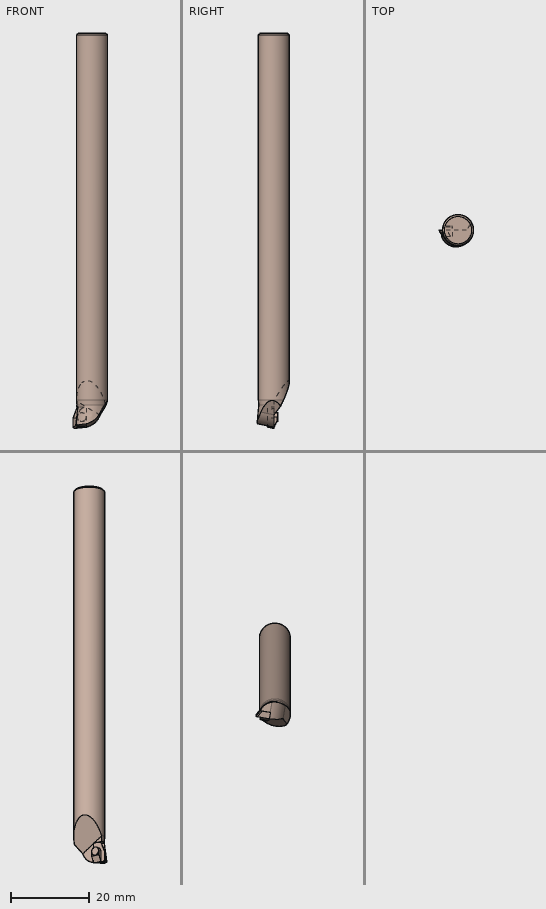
import cadquery as cq
import math

LENGTH = 101.1
SHANK_RADIUS = 3.99
SHANK_CHAMFER = 0.5
CONE_TOP_Z = 7.3
CONE_BOTTOM_Z = 6.1
NECK_RADIUS = 3.89

HEAD_X = -0.5
HEAD_Y = -0.5
HEAD_RADIUS = 3.9

WALL_Z = 4.7
WALL_X_SLOPE = -0.6
WALL_Y_SLOPE = 1.8

END_TILT = 12.0
END_LOW_Z = 0.3
END_FLAT_X = -1.5
END_ARC_MIDDLE = (0.6, 1.3)
END_ARC_TOP = (2.1, 3.4)
END_TOP_Z = 7.0
INSERT_THICKNESS = 1.6
SEAT_X = -1.4
SEAT_TOP_Z = 5.6
TIP_X = -4.5
EDGE_X = -4.9
EDGE_BOTTOM_Z = 0.4
EDGE_TOP_Z = 2.6
FLANK_TOP_X = -3.9
FLANK_TOP_Z = 5.2
CORNER_X = -2.8
FLANK_RELIEF = 0.9
END_RISE = INSERT_THICKNESS * math.tan(math.radians(END_TILT))

BOSS_DIAMETER = 2.2
BOSS_HEIGHT = 1.0
BOSS_X = -2.6
BOSS_Z = 2.9
RAMP_HEIGHT = 0.8
RAMP_START_Z = 0.2
RAMP_LEFT_X = -3.7

REACH = 20.2


def cutting_block(x_min, x_max, y_min, y_max, z_min, z_max):
    """Box given by its limits on each axis."""
    size = (x_max - x_min, y_max - y_min, z_max - z_min)
    return cq.Workplane("XY").box(*size, centered=False).translate((x_min, y_min, z_min))


def make_blank():
    """Chamfered shank, short cone and the head that leans to one side under it."""
    shank = cq.Workplane("XY").workplane(offset=CONE_TOP_Z).circle(SHANK_RADIUS)
    shank = shank.extrude(LENGTH - CONE_TOP_Z).faces(">Z").chamfer(SHANK_CHAMFER)
    cone = cq.Workplane("XY").workplane(offset=CONE_BOTTOM_Z).circle(NECK_RADIUS)
    cone = cone.workplane(offset=CONE_TOP_Z - CONE_BOTTOM_Z).circle(SHANK_RADIUS).loft()
    head = cq.Workplane("XY").center(HEAD_X, HEAD_Y).circle(HEAD_RADIUS)
    head = head.workplane(offset=CONE_BOTTOM_Z).center(-HEAD_X, -HEAD_Y).circle(NECK_RADIUS).loft()
    return shank.union(cone).union(head)


def make_flute():
    """Space in front of the flat floor and below the sloping wall."""
    normal = cq.Vector(WALL_X_SLOPE, WALL_Y_SLOPE, -1.0)
    wall = cq.Plane(origin=(0, 0, WALL_Z), xDir=(1, 0, WALL_X_SLOPE), normal=normal)
    below_wall = cq.Workplane(wall).rect(4 * REACH, 4 * REACH).extrude(2 * REACH)
    return below_wall.intersect(cutting_block(-REACH, REACH, 0, REACH, -REACH, REACH))


def make_end_relief():
    """Everything below the curved, backward tilted end of the head."""
    relief = (
        cq.Workplane("XZ")
        .workplane(offset=-REACH)
        .moveTo(-REACH, END_LOW_Z)
        .lineTo(END_FLAT_X, END_LOW_Z)
        .threePointArc(END_ARC_MIDDLE, END_ARC_TOP)
        .lineTo(SHANK_RADIUS, END_TOP_Z)
        .lineTo(REACH, END_TOP_Z)
        .lineTo(REACH, -REACH)
        .lineTo(-REACH, -REACH)
        .close()
        .extrude(2 * REACH)
    )
    return relief.rotate((0, 0, 0), (1, 0, 0), -END_TILT)


def make_bar():
    seat = cutting_block(-REACH, SEAT_X, -INSERT_THICKNESS, REACH, -REACH, SEAT_TOP_Z)
    return make_blank().cut(make_flute()).cut(make_end_relief()).cut(seat)


def insert_outline(flank_shift, end_rise):
    """Insert outline in X and Z; the exposed edges move inward by the given amounts."""
    return [
        (SEAT_X, END_LOW_Z + end_rise),
        (TIP_X + flank_shift, end_rise),
        (EDGE_X + flank_shift, EDGE_BOTTOM_Z + end_rise),
        (EDGE_X + flank_shift, EDGE_TOP_Z),
        (FLANK_TOP_X + flank_shift, FLANK_TOP_Z - end_rise),
        (CORNER_X + flank_shift, SEAT_TOP_Z),
        (SEAT_X, SEAT_TOP_Z),
    ]


def make_insert():
    """Relieved cutting insert with a chip ramp and a round boss on its face."""
    insert = cq.Workplane("XZ").polyline(insert_outline(0, 0)).close()
    insert = insert.workplane(offset=INSERT_THICKNESS)
    insert = insert.polyline(insert_outline(FLANK_RELIEF, END_RISE)).close().loft(ruled=True)
    boss = cq.Workplane("XZ").center(BOSS_X, BOSS_Z).circle(BOSS_DIAMETER / 2).extrude(-BOSS_HEIGHT)
    ramp_top_z = BOSS_Z - BOSS_DIAMETER / 2
    ramp = (
        cq.Workplane("YZ")
        .workplane(offset=RAMP_LEFT_X)
        .polyline([(0, RAMP_START_Z), (RAMP_HEIGHT, ramp_top_z), (RAMP_HEIGHT, BOSS_Z), (0, BOSS_Z)])
        .close()
        .extrude(SEAT_X - RAMP_LEFT_X)
    )
    return insert.union(boss).union(ramp)


bar = make_bar()
insert = make_insert()
result = cq.Compound.makeCompound([bar.val(), insert.val()])